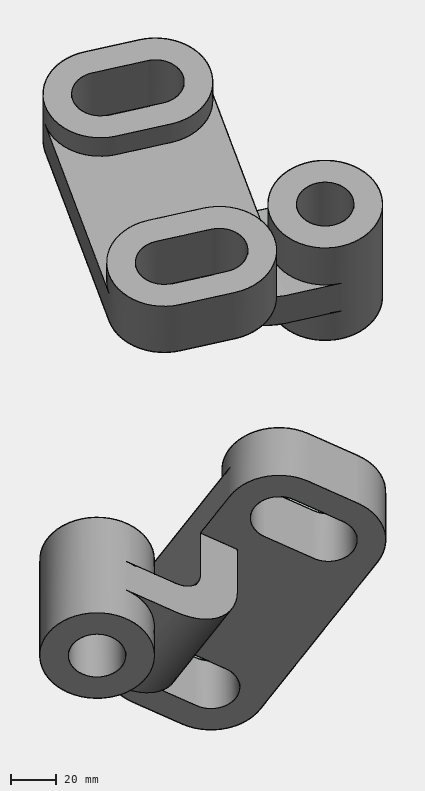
import cadquery as cq

overall_length = 150.5
overall_height = 109.1
boss_depth = 75.2
plate_thickness = 18.8
boss_width = overall_length / 3
wall = boss_width / 4

boss_height = plate_thickness + wall
boss_spacing = overall_length - boss_width
slot_width = boss_width - 2 * wall
slot_length = boss_depth - 2 * wall

tube_diameter = boss_width
bore_diameter = tube_diameter - 2 * wall
tube_y = boss_depth + 3 * wall
tube_bottom = boss_height - overall_height
tube_rise_above_arm = 2 * wall

arm_width = tube_diameter
arm_bottom = tube_bottom + plate_thickness
arm_top = arm_bottom + plate_thickness
tube_height = arm_top + tube_rise_above_arm - tube_bottom
inner_bend_radius = wall
outer_bend_radius = inner_bend_radius + plate_thickness


def upright_slot(x, length, width, height):
    """Round-ended block with its long side along Y, standing on Z = 0."""
    return (
        cq.Workplane("XY")
        .center(x, boss_depth / 2)
        .slot2D(length, width, 90)
        .extrude(height)
    )


def make_plate():
    return cq.Workplane("XY").box(
        boss_spacing, boss_depth, plate_thickness, centered=(True, False, False)
    )


def make_arm():
    """L-shaped strip: down from the plate's rear edge, then back to the tube axis."""
    leg_front = boss_depth - plate_thickness
    bend_y = boss_depth + inner_bend_radius
    bend_z = arm_top + inner_bend_radius
    return (
        cq.Workplane("YZ")
        .moveTo(leg_front, plate_thickness)
        .lineTo(leg_front, bend_z)
        .radiusArc((bend_y, arm_bottom), -outer_bend_radius)
        .lineTo(tube_y, arm_bottom)
        .lineTo(tube_y, arm_top)
        .lineTo(bend_y, arm_top)
        .radiusArc((boss_depth, bend_z), inner_bend_radius)
        .lineTo(boss_depth, plate_thickness)
        .close()
        .extrude(arm_width / 2, both=True)
    )


def tube_cylinder(diameter):
    return (
        cq.Workplane("XY", origin=(0, tube_y, tube_bottom))
        .circle(diameter / 2)
        .extrude(tube_height)
    )


body = make_plate().union(make_arm()).union(tube_cylinder(tube_diameter))
body = body.cut(tube_cylinder(bore_diameter))

for boss_x in (-boss_spacing / 2, boss_spacing / 2):
    body = body.union(upright_slot(boss_x, boss_depth, boss_width, boss_height))
    body = body.cut(upright_slot(boss_x, slot_length, slot_width, boss_height))

result = body